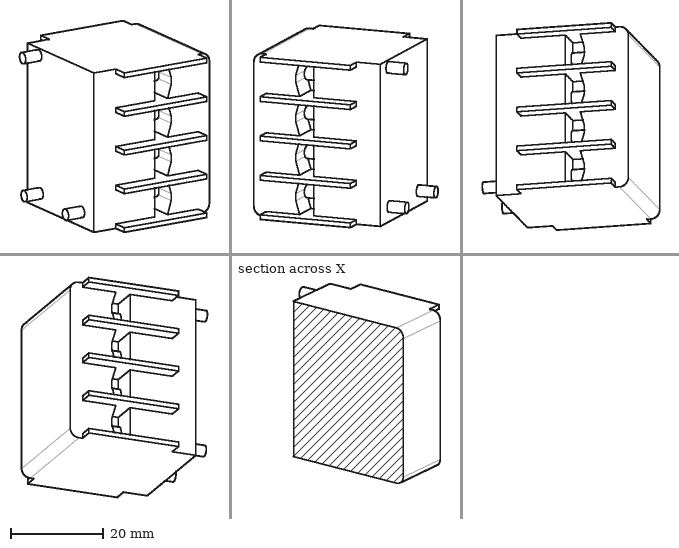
import cadquery as cq

height = 36.1
overall_width = 34.0
overall_depth = 33.8
rib_reach = 3.5
pin_length = 4.1
body_width = overall_width - 2 * rib_reach
body_depth = overall_depth - pin_length
back_edge_radius = 2.0

rib_count = 5
rib_thickness = 1.05
rib_depth = 21.15
rib_back_offset = 2.92
rib_pitch = (height - rib_thickness) / (rib_count - 1)

pocket_front_y = 15.55
pocket_edge_length = 3.35
pocket_crown_length = 4.25
pocket_crown_half_height = 0.8
pocket_depth = 6.5
pocket_height = rib_pitch - rib_thickness
terminal_radius = 1.55

pin_diameter = 2.53
lower_left_pin_x = -8.38
lower_right_pin_x = 8.45
lower_pin_z = -14.65
upper_pin_x = -9.0
upper_pin_z = 16.43
pin_centers = [
    (lower_left_pin_x, lower_pin_z),
    (lower_right_pin_x, lower_pin_z),
    (upper_pin_x, upper_pin_z),
]

rib_levels = [(i - (rib_count - 1) / 2) * rib_pitch for i in range(rib_count)]
bay_levels = [level + rib_pitch / 2 for level in rib_levels[:-1]]


def make_body():
    """Block with its front face on Y = 0 and rounded top and bottom back edges."""
    block = cq.Workplane("XY").box(body_width, body_depth, height, centered=(True, False, True))
    return block.faces(">Y").edges("|X").fillet(back_edge_radius)


def make_rib(level):
    """Flat plate that crosses the body and sticks out on both sides."""
    rib_center_y = body_depth - rib_back_offset - rib_depth / 2
    plate = cq.Workplane("XY").box(overall_width, rib_depth, rib_thickness)
    return plate.translate((0, rib_center_y, level))


def make_pocket(level):
    """Low-X side pocket: flat front wall, blunt wedge back wall, half-round bar on its floor."""
    floor_x = -body_width / 2 + pocket_depth
    half_height = pocket_height / 2
    edge_y = pocket_front_y + pocket_edge_length
    crown_y = pocket_front_y + pocket_crown_length
    cavity = (
        cq.Workplane("YZ", origin=(floor_x, 0, level))
        .moveTo(pocket_front_y, -half_height)
        .lineTo(edge_y, -half_height)
        .lineTo(crown_y, -pocket_crown_half_height)
        .lineTo(crown_y, pocket_crown_half_height)
        .lineTo(edge_y, half_height)
        .lineTo(pocket_front_y, half_height)
        .close()
        .extrude(-pocket_depth)
    )
    bar = (
        cq.Workplane("XZ", origin=(floor_x, pocket_front_y, level))
        .circle(terminal_radius)
        .extrude(-pocket_crown_length)
    )
    return cavity.cut(bar)


def make_pins():
    """Round pins that stand out from the front face."""
    return cq.Workplane("XZ").pushPoints(pin_centers).circle(pin_diameter / 2).extrude(pin_length)


result = make_body()
for rib_level in rib_levels:
    result = result.union(make_rib(rib_level))
for bay_level in bay_levels:
    pocket = make_pocket(bay_level)
    result = result.cut(pocket).cut(pocket.mirror("YZ"))
result = result.union(make_pins())